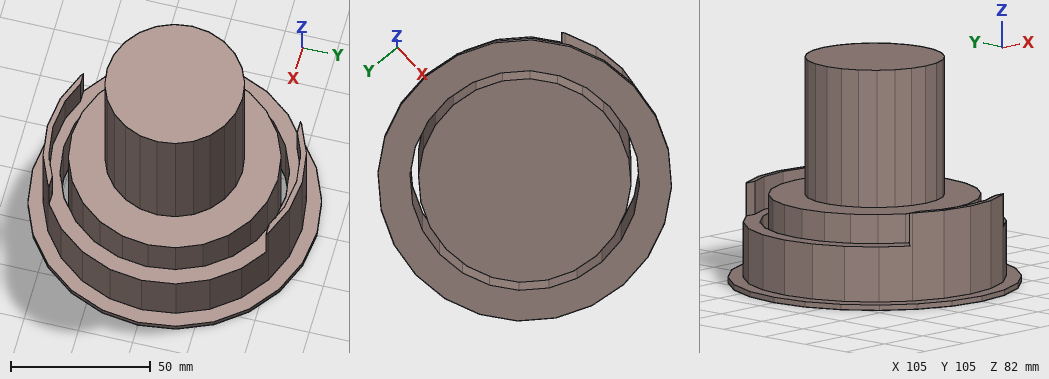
import cadquery as cq

FACETS = 24

FLANGE_DIAMETER = 105.0
FLANGE_THICKNESS = 2.0
SLEEVE_DIAMETER = 94.1
SLEEVE_TOP = 22.0
BORE_DIAMETER = 82.0
TAB_INNER_DIAMETER = 90.0
TAB_TOP = 34.0
TAB_SPACING = 80.0

BASE_DIAMETER = 76.0
BASE_TOP = 32.0
POST_DIAMETER = 50.0
PLUNGER_TOP = 82.0


def faceted_prism(diameter, bottom, top):
    """Upright prism on the Z axis; the diameter is measured across its corners."""
    return (
        cq.Workplane("XY")
        .workplane(offset=bottom)
        .polygon(FACETS, diameter)
        .extrude(top - bottom)
    )


def make_rim_tabs():
    """Two thin arcs standing on the sleeve rim, cut off by planes square to Y."""
    height = TAB_TOP - SLEEVE_TOP
    ring = faceted_prism(SLEEVE_DIAMETER, SLEEVE_TOP, TAB_TOP)
    ring = ring.cut(faceted_prism(TAB_INNER_DIAMETER, SLEEVE_TOP, TAB_TOP))
    middle = (
        cq.Workplane("XY")
        .workplane(offset=SLEEVE_TOP)
        .rect(SLEEVE_DIAMETER, TAB_SPACING)
        .extrude(height)
    )
    return ring.cut(middle)


def make_housing():
    """Flanged sleeve with a through bore and two rim tabs."""
    flange = faceted_prism(FLANGE_DIAMETER, 0, FLANGE_THICKNESS)
    sleeve = faceted_prism(SLEEVE_DIAMETER, 0, SLEEVE_TOP)
    bore = faceted_prism(BORE_DIAMETER, 0, SLEEVE_TOP)
    return flange.union(sleeve).cut(bore).union(make_rim_tabs())


def make_plunger():
    """Stepped solid plunger standing free inside the bore."""
    base = faceted_prism(BASE_DIAMETER, 0, BASE_TOP)
    post = faceted_prism(POST_DIAMETER, BASE_TOP, PLUNGER_TOP)
    return base.union(post)


housing = make_housing()
plunger = make_plunger()

result = cq.Compound.makeCompound([housing.val(), plunger.val()])